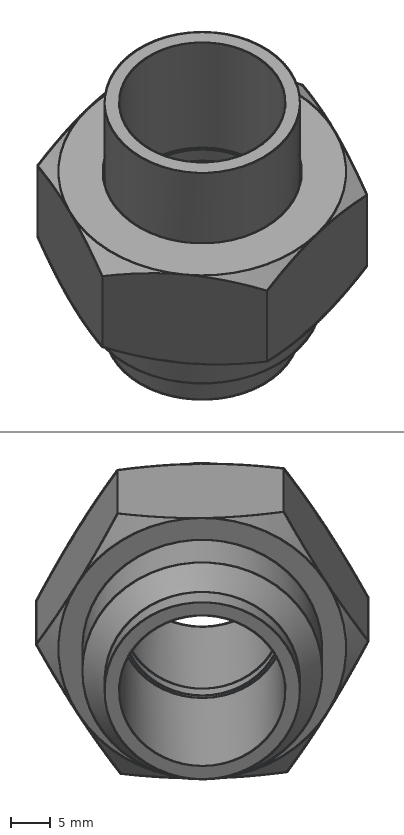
import cadquery as cq
import math

pipe_diameter = 24.45
bore_diameter = 20.8
total_height = 41.0

nut_across_flats = 36.0
nut_height = 16.0
nut_bottom = 12.5
nut_top = nut_bottom + nut_height
nut_lip_thickness = 3.0
nut_lip_hole_diameter = 24.9
nut_chamfer_angle = 30.0
nut_across_corners = nut_across_flats / math.cos(math.radians(30))

collar_diameter = 30.0
lower_pipe_length = 3.05
cone_height = (collar_diameter - pipe_diameter) / 2

flange_thickness = 3.5
gasket_thickness = 2.0
gasket_bore_diameter = 20.1
flange_top = nut_top - nut_lip_thickness
gasket_top = flange_top - flange_thickness
collar_top = gasket_top - gasket_thickness


def revolved(profile):
    """Solid of revolution about Z from (diameter, height) points."""
    points = [(-diameter / 2, height) for diameter, height in profile]
    return cq.Workplane("YZ").polyline(points).close().revolve(360, (0, 0), (0, 1))


def make_nut():
    """Hexagon with conical corner chamfers, a lip at the top and a bore that takes the collar."""
    hexagon = (
        cq.Workplane("XY", origin=(0, 0, nut_bottom))
        .polygon(6, nut_across_corners)
        .extrude(nut_height)
    )
    corner_overhang = (nut_across_corners - nut_across_flats) / 2
    chamfer_drop = corner_overhang * math.tan(math.radians(nut_chamfer_angle))
    envelope = revolved([
        (0, nut_bottom),
        (nut_across_flats, nut_bottom),
        (nut_across_corners, nut_bottom + chamfer_drop),
        (nut_across_corners, nut_top - chamfer_drop),
        (nut_across_flats, nut_top),
        (0, nut_top),
    ])
    opening = revolved([
        (0, nut_bottom),
        (collar_diameter, nut_bottom),
        (collar_diameter, flange_top),
        (nut_lip_hole_diameter, flange_top),
        (nut_lip_hole_diameter, nut_top),
        (0, nut_top),
    ])
    return hexagon.intersect(envelope).cut(opening)


def make_tailpiece():
    """Upper pipe with the flange that the nut lip pulls down."""
    return revolved([
        (bore_diameter, gasket_top),
        (collar_diameter, gasket_top),
        (collar_diameter, flange_top),
        (pipe_diameter, flange_top),
        (pipe_diameter, total_height),
        (bore_diameter, total_height),
    ])


def make_gasket():
    """Sealing ring whose bore stands slightly inside the pipe bores."""
    return revolved([
        (gasket_bore_diameter, collar_top),
        (collar_diameter, collar_top),
        (collar_diameter, gasket_top),
        (gasket_bore_diameter, gasket_top),
    ])


def make_lower_body():
    """Lower pipe end that widens through a cone to the collar."""
    return revolved([
        (bore_diameter, 0),
        (pipe_diameter, 0),
        (pipe_diameter, lower_pipe_length),
        (collar_diameter, lower_pipe_length + cone_height),
        (collar_diameter, collar_top),
        (bore_diameter, collar_top),
    ])


nut = make_nut()
tailpiece = make_tailpiece()
gasket = make_gasket()
lower_body = make_lower_body()

result = cq.Compound.makeCompound([
    nut.solids().val(),
    tailpiece.val(),
    gasket.val(),
    lower_body.val(),
])